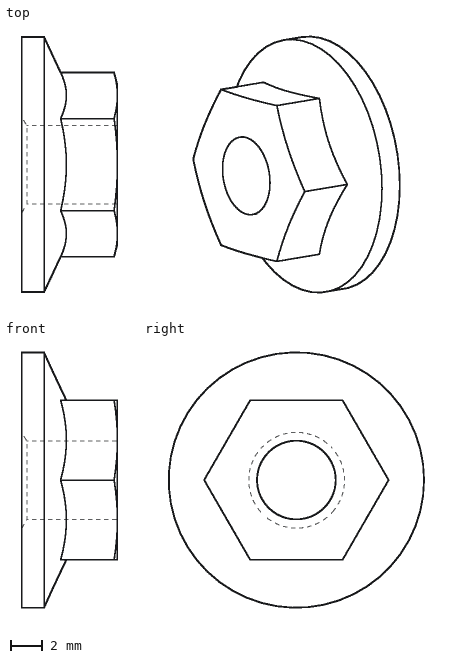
import cadquery as cq
import math

flange_diameter = 16.0
rim_thickness = 1.4
cone_angle = 25.0
height = 6.0
across_flats = 10.0
end_chamfer_angle = 15.0
bore_diameter = 4.91
countersink_diameter = 6.0
countersink_angle = 60.0

flange_radius = flange_diameter / 2
flat_radius = across_flats / 2
across_corners = across_flats / math.cos(math.radians(30))
bore_radius = bore_diameter / 2
countersink_radius = countersink_diameter / 2


def revolve_profile(points):
    """Revolve a closed (X, radius) outline about the X axis."""
    return cq.Workplane("XY").polyline(points).close().revolve(360, (0, 0, 0), (1, 0, 0))


def make_flange():
    """Disc with a cylindrical rim and a conical back running in under the hexagon."""
    cone_end_x = rim_thickness + (flange_radius - bore_radius) * math.tan(math.radians(cone_angle))
    return revolve_profile([
        (0, 0),
        (0, flange_radius),
        (rim_thickness, flange_radius),
        (cone_end_x, bore_radius),
        (cone_end_x, 0),
    ])


def make_hexagon():
    """Hexagon with corners on the Y axis, its end corners cut by a cone."""
    prism = cq.Workplane("YZ").polygon(6, across_corners).extrude(height)
    chamfer_drop = (flange_radius - flat_radius) * math.tan(math.radians(end_chamfer_angle))
    chamfer_envelope = revolve_profile([
        (0, 0),
        (0, flange_radius),
        (height - chamfer_drop, flange_radius),
        (height, flat_radius),
        (height, 0),
    ])
    return prism.intersect(chamfer_envelope)


def make_bore():
    """Through bore with a countersink at the bearing face."""
    countersink_depth = (countersink_radius - bore_radius) / math.tan(math.radians(countersink_angle))
    return revolve_profile([
        (0, 0),
        (0, countersink_radius),
        (countersink_depth, bore_radius),
        (height, bore_radius),
        (height, 0),
    ])


result = make_flange().union(make_hexagon()).cut(make_bore())